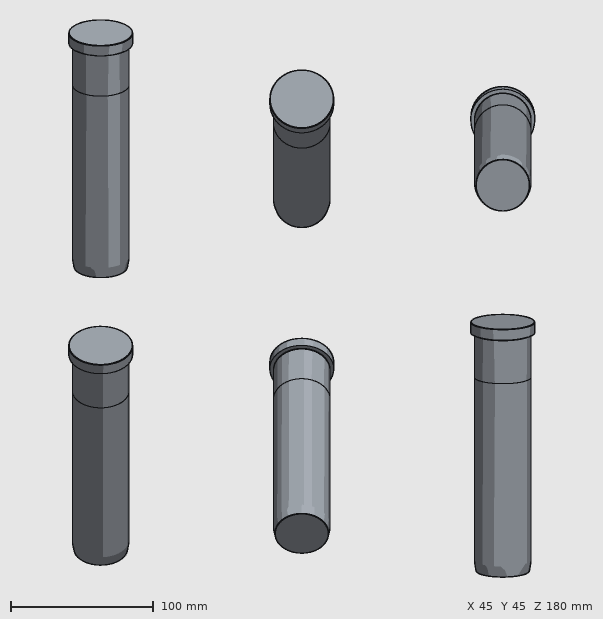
import cadquery as cq

total_height = 180.0
head_diameter = 45.0
shaft_diameter = 40.0

head_height = 8.0
head_edge_chamfer = 0.45
groove_height = 1.0
groove_depth = 0.4

upper_body_height = 40.0

nose_height = 8.0
nose_tip_diameter = 37.8
nose_bulge = 0.2
tip_edge_chamfer = 0.4

head_radius = head_diameter / 2
shaft_radius = shaft_diameter / 2
groove_radius = shaft_radius - groove_depth
nose_tip_radius = nose_tip_diameter / 2
joint_level = total_height - upper_body_height
head_underside = total_height - head_height
groove_bottom = head_underside - groove_height


def make_upper_body():
    """Headed upper length of the pillar, with a relief groove under the head."""
    profile = (
        cq.Workplane("XZ")
        .moveTo(0, joint_level)
        .lineTo(shaft_radius, joint_level)
        .lineTo(shaft_radius, groove_bottom)
        .lineTo(groove_radius, groove_bottom + groove_depth)
        .lineTo(groove_radius, head_underside)
        .lineTo(head_radius, head_underside)
        .lineTo(head_radius, total_height)
        .lineTo(0, total_height)
        .close()
    )
    body = profile.revolve(360, (0, 0, 0), (0, 1, 0))
    return body.faces(">Z").edges().chamfer(head_edge_chamfer)


def make_lower_body():
    """Long plain shaft ending in a convex, narrowing nose."""
    nose_middle_radius = (shaft_radius + nose_tip_radius) / 2 + nose_bulge
    profile = (
        cq.Workplane("XZ")
        .moveTo(0, 0)
        .lineTo(nose_tip_radius - tip_edge_chamfer, 0)
        .lineTo(nose_tip_radius, tip_edge_chamfer)
        .threePointArc((nose_middle_radius, nose_height / 2), (shaft_radius, nose_height))
        .lineTo(shaft_radius, joint_level)
        .lineTo(0, joint_level)
        .close()
    )
    return profile.revolve(360, (0, 0, 0), (0, 1, 0))


upper_body = make_upper_body()
lower_body = make_lower_body()

result = cq.Compound.makeCompound([upper_body.val(), lower_body.val()])